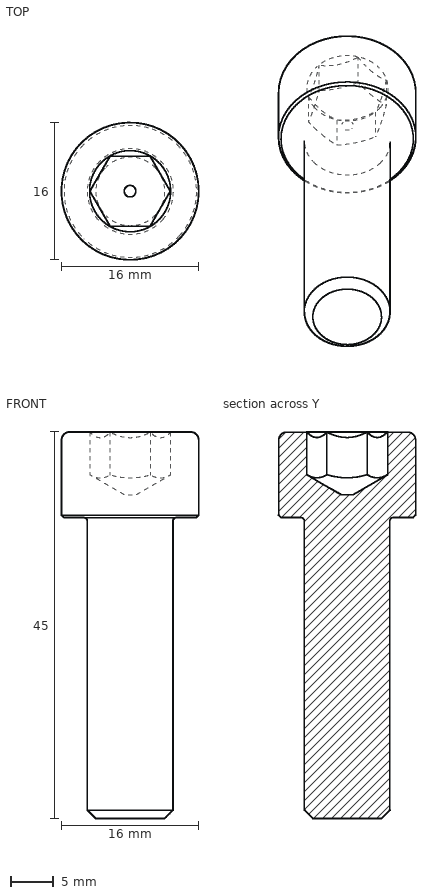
import cadquery as cq
import math


shank_diameter = 10.0
shank_length = 35.0
plain_shank_length = 3.0
tip_chamfer = 1.0
neck_fillet = 0.4

head_diameter = 16.0
head_height = shank_diameter
head_top_fillet = 1.0
head_bottom_chamfer = 0.3

hexagon_sides = 6
socket_across_flats = 8.1
socket_depth = 5.0
socket_mouth_diameter = 9.45
mouth_slope = math.radians(45)
floor_slope = math.radians(30)
floor_flat_diameter = 1.35

head_radius = head_diameter / 2
shank_radius = shank_diameter / 2
socket_corner_radius = socket_across_flats / 2 / math.cos(math.pi / hexagon_sides)


def arc_point(center_r, center_z, radius, angle_degrees):
    """Point (r, z) of an arc at the given angle from the radial direction."""
    angle = math.radians(angle_degrees)
    return center_r + radius * math.cos(angle), center_z + radius * math.sin(angle)


def revolve_about_z(profile):
    """Close a profile drawn in (r, z) and turn it about the Z axis, keeping every face separate."""
    return profile.close().revolve(360, (0, 0, 0), (0, 1, 0), clean=False)


def make_body():
    """Head and shank as one turned profile."""
    neck_radius = shank_radius + neck_fillet
    neck_arc_middle = arc_point(neck_radius, -neck_fillet, neck_fillet, 135)
    top_face_radius = head_radius - head_top_fillet
    top_fillet_z = head_height - head_top_fillet
    top_arc_middle = arc_point(top_face_radius, top_fillet_z, head_top_fillet, 45)
    profile = (
        cq.Workplane("XZ")
        .moveTo(0, -shank_length)
        .lineTo(shank_radius - tip_chamfer, -shank_length)
        .lineTo(shank_radius, -shank_length + tip_chamfer)
        .lineTo(shank_radius, -plain_shank_length)
        .lineTo(shank_radius, -neck_fillet)
        .threePointArc(neck_arc_middle, (neck_radius, 0))
        .lineTo(head_radius - head_bottom_chamfer, 0)
        .lineTo(head_radius, head_bottom_chamfer)
        .lineTo(head_radius, top_fillet_z)
        .threePointArc(top_arc_middle, (top_face_radius, head_height))
        .lineTo(0, head_height)
    )
    return revolve_about_z(profile)


def make_socket():
    """Hexagonal cutter with a conical floor and a conical lead-in at its mouth."""
    mouth_radius = socket_mouth_diameter / 2
    mouth_cone_depth = mouth_radius * math.tan(mouth_slope)
    floor_flat_radius = floor_flat_diameter / 2
    corner_z = head_height - socket_depth
    floor_z = corner_z - (socket_corner_radius - floor_flat_radius) * math.tan(floor_slope)

    hexagon = (
        cq.Workplane("XY", origin=(0, 0, floor_z))
        .polygon(hexagon_sides, 2 * socket_corner_radius)
        .extrude(head_height - floor_z)
    )
    floor_envelope = revolve_about_z(
        cq.Workplane("XZ")
        .moveTo(0, floor_z)
        .lineTo(floor_flat_radius, floor_z)
        .lineTo(socket_corner_radius, corner_z)
        .lineTo(socket_corner_radius, head_height)
        .lineTo(0, head_height)
    )
    mouth_cone = revolve_about_z(
        cq.Workplane("XZ")
        .moveTo(0, head_height - mouth_cone_depth)
        .lineTo(mouth_radius, head_height)
        .lineTo(0, head_height)
    )
    return hexagon.intersect(floor_envelope).union(mouth_cone)


result = make_body().cut(make_socket(), clean=False)